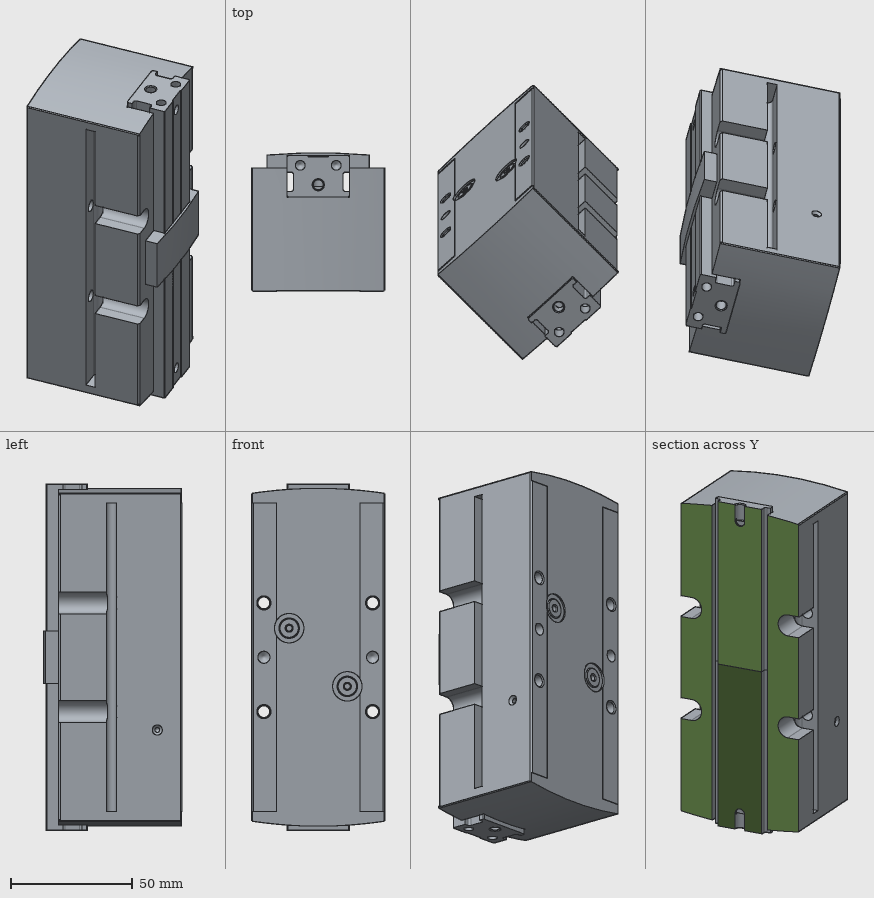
import cadquery as cq
import math

LENGTH = 143.0
WIDTH = 55.0
FRONT_Y = -28.67
BACK_Y = 22.5
COVER_TOP_Y = 28.67

END_CROWN_Z = 69.8
END_EDGE_Z = 67.8
END_CHAMFER = 0.5
FRONT_CHAMFER = 0.7
BACK_CHAMFER = 0.9
BACK_CHAMFER_HALF_LENGTH = 67.0

STRIP_HEIGHT = 0.3
STRIP_INNER_X = 17.3
STRIP_HALF_LENGTH = 63.8

HOLE_X = 22.5
HOLE_Z = 22.5
HOLE_DIAMETER = 4.9
HOLE_CHAMFER = 0.5
COUNTERBORE_DIAMETER = 9.0
COUNTERBORE_FLOOR_Y = 2.1
DOWEL_DIAMETER = 5.0
DOWEL_DEPTH = 8.6
DRILL_POINT_ANGLE = 118.0

GROOVE_WIDTH = 4.1
GROOVE_Y = 0.5
GROOVE_DEPTH = 9.6
GROOVE_HALF_LENGTH = 63.8

PORT_Y = -18.5
PORT_Z = -30.0
PORT_MOUTH_DIAMETER = 4.1
PORT_DIAMETER = 2.0
PORT_DEPTH = 4.3

PLUG_X = 12.0
PLUG_Z = 12.0
RECESS_DIAMETER = 12.2
RECESS_DEPTH = 1.0
PLUG_DIAMETER = 8.5
PLUG_PROUD = 0.5
PLUG_CHAMFER = 0.5
PLUG_LENGTH = 5.0
SOCKET_DIAMETER = 2.5
SOCKET_CHAMFER = 0.5
SOCKET_DEPTH = 2.1

JAW_HALF_WIDTH = 12.9
JAW_WAIST_HALF_WIDTH = 10.3
JAW_FLOOR_Y = 10.37
JAW_TOP_Y = 27.5
WAIST_LOW_Y = 12.7
WAIST_HIGH_Y = 20.6
WAIST_FILLET = 0.9
JAW_CHAMFER = 0.5
JAW_SCREW_X = 7.5
JAW_SCREW_Y = 23.5
JAW_SCREW_DIAMETER = 4.0
JAW_SCREW_DEPTH = 8.6
JAW_PIN_Y = 15.5
JAW_PIN_DIAMETER = 4.1
JAW_PIN_CHAMFER = 0.5
JAW_PIN_DEPTH = 7.2
CROSS_HOLE_END_Y = 14.7
JAW_GROOVE_HALF_WIDTH = 4.1
JAW_GROOVE_DEPTH = 0.5

COVER_HALF_WIDTH = 21.2
COVER_HALF_LENGTH = 10.9
COVER_EDGE_Y = 27.7

HALF_WIDTH = WIDTH / 2
FACE_Y = FRONT_Y + STRIP_HEIGHT
RECESS_FLOOR_Y = FRONT_Y + RECESS_DEPTH
MIRROR_SIGNS = (-1, 1)


def box(x_range, y_range, z_range):
    """A box between the given limits."""
    size = [high - low for low, high in (x_range, y_range, z_range)]
    corner = (x_range[0], y_range[0], z_range[0])
    return cq.Workplane("XY").box(*size, centered=False).translate(corner)


def cylinder(diameter, depth, start, direction):
    """A cylinder that runs from start along direction."""
    return cq.Workplane(cq.Solid.makeCylinder(diameter / 2, depth, cq.Vector(*start), cq.Vector(*direction)))


def cone(start_diameter, end_diameter, depth, start, direction):
    """A cone that runs from start along direction."""
    return cq.Workplane(
        cq.Solid.makeCone(
            start_diameter / 2, end_diameter / 2, depth, cq.Vector(*start), cq.Vector(*direction)
        )
    )


def countersink(diameter, chamfer, start, direction):
    """A 45 degree chamfer around the mouth of a hole."""
    return cone(diameter + 2 * chamfer, diameter, chamfer, start, direction)


def drilled_hole(diameter, depth, start, direction):
    """A blind hole that ends in a drill point."""
    point_depth = diameter / 2 / math.tan(math.radians(DRILL_POINT_ANGLE / 2))
    end = cq.Vector(*start) + cq.Vector(*direction) * depth
    return cylinder(diameter, depth, start, direction).union(
        cone(diameter, 0, point_depth, end.toTuple(), direction)
    )


def housing_block():
    """A block with domed ends and chamfered edges."""
    edge_x = HALF_WIDTH - END_CHAMFER
    side_z = END_EDGE_Z - END_CHAMFER
    block = (
        cq.Workplane("XZ", origin=(0, BACK_Y, 0))
        .moveTo(-edge_x, END_EDGE_Z)
        .threePointArc((0, END_CROWN_Z), (edge_x, END_EDGE_Z))
        .lineTo(HALF_WIDTH, side_z)
        .lineTo(HALF_WIDTH, -side_z)
        .lineTo(edge_x, -END_EDGE_Z)
        .threePointArc((0, -END_CROWN_Z), (-edge_x, -END_EDGE_Z))
        .lineTo(-HALF_WIDTH, -side_z)
        .lineTo(-HALF_WIDTH, side_z)
        .close()
        .extrude(BACK_Y - FRONT_Y)
    )
    for sign in MIRROR_SIGNS:
        block = block.cut(corner_wedge(sign, FRONT_Y, FRONT_CHAMFER, LENGTH / 2))
        block = block.cut(corner_wedge(sign, BACK_Y, -BACK_CHAMFER, BACK_CHAMFER_HALF_LENGTH))
    return block


def corner_wedge(sign, edge_y, leg, half_length):
    """The wedge that chamfers a long edge of the housing; the sign of leg is its direction in Y."""
    corner_x = sign * HALF_WIDTH
    return (
        cq.Workplane("XY", origin=(0, 0, -half_length))
        .moveTo(corner_x, edge_y)
        .lineTo(corner_x - sign * abs(leg), edge_y)
        .lineTo(corner_x, edge_y + leg)
        .close()
        .extrude(2 * half_length)
    )


def front_relief():
    """The thin layer around the strips that leaves them raised."""
    y_range = (FRONT_Y, FACE_Y)
    layer = box((-HALF_WIDTH, HALF_WIDTH), y_range, (-LENGTH / 2, LENGTH / 2))
    for x_range in ((-HALF_WIDTH, -STRIP_INNER_X), (STRIP_INNER_X, HALF_WIDTH)):
        layer = layer.cut(box(x_range, y_range, (-STRIP_HALF_LENGTH, STRIP_HALF_LENGTH)))
    return layer


def mounting_hole(sign, z):
    """A through hole with a counterbore from the back that is open to the side."""
    x = sign * HOLE_X
    radius = COUNTERBORE_DIAMETER / 2
    counterbore_depth = BACK_Y - COUNTERBORE_FLOOR_Y
    x_range = sorted((x, sign * HALF_WIDTH))
    return (
        cylinder(HOLE_DIAMETER, BACK_Y - FRONT_Y, (x, FRONT_Y, z), (0, 1, 0))
        .union(countersink(HOLE_DIAMETER, HOLE_CHAMFER, (x, FRONT_Y, z), (0, 1, 0)))
        .union(cylinder(COUNTERBORE_DIAMETER, counterbore_depth, (x, COUNTERBORE_FLOOR_Y, z), (0, 1, 0)))
        .union(box(x_range, (COUNTERBORE_FLOOR_Y, BACK_Y), (z - radius, z + radius)))
    )


def sensor_groove(sign):
    """A long side groove with a round bottom."""
    radius = GROOVE_WIDTH / 2
    round_x = sign * (HALF_WIDTH - GROOVE_DEPTH + radius)
    bottom_x = sign * (HALF_WIDTH - GROOVE_DEPTH)
    side_x = sign * HALF_WIDTH
    return (
        cq.Workplane("XY", origin=(0, GROOVE_Y, -GROOVE_HALF_LENGTH))
        .moveTo(side_x, radius)
        .lineTo(round_x, radius)
        .threePointArc((bottom_x, 0), (round_x, -radius))
        .lineTo(side_x, -radius)
        .close()
        .extrude(2 * GROOVE_HALF_LENGTH)
    )


def air_port():
    """A countersunk blind hole in the -X side."""
    start = (-HALF_WIDTH, PORT_Y, PORT_Z)
    chamfer = (PORT_MOUTH_DIAMETER - PORT_DIAMETER) / 2
    return drilled_hole(PORT_DIAMETER, PORT_DEPTH, start, (1, 0, 0)).union(
        countersink(PORT_DIAMETER, chamfer, start, (1, 0, 0))
    )


def plug_seat(x, z):
    """A shallow recess around the bore that holds a plug."""
    bore_depth = PLUG_LENGTH - PLUG_PROUD
    return cylinder(RECESS_DIAMETER, RECESS_DEPTH, (x, FRONT_Y, z), (0, 1, 0)).union(
        cylinder(PLUG_DIAMETER, bore_depth, (x, RECESS_FLOOR_Y, z), (0, 1, 0))
    )


def make_housing(plug_places):
    """The housing with its jaw slot, grooves, holes and plug seats."""
    body = housing_block().cut(front_relief())
    body = body.cut(
        box((-JAW_HALF_WIDTH, JAW_HALF_WIDTH), (JAW_FLOOR_Y, BACK_Y), (-LENGTH / 2, LENGTH / 2))
    )
    for sign in MIRROR_SIGNS:
        body = body.cut(sensor_groove(sign))
        body = body.cut(drilled_hole(DOWEL_DIAMETER, DOWEL_DEPTH, (sign * HOLE_X, FRONT_Y, 0), (0, 1, 0)))
        for z in (-HOLE_Z, HOLE_Z):
            body = body.cut(mounting_hole(sign, z))
    for x, z in plug_places:
        body = body.cut(plug_seat(x, z))
    return body.cut(air_port())


def make_plug(x, z):
    """A round plug with a small socket, standing proud of its recess."""
    face_y = RECESS_FLOOR_Y - PLUG_PROUD
    face = (x, face_y, z)
    return (
        cylinder(PLUG_DIAMETER, PLUG_LENGTH, face, (0, 1, 0))
        .faces("<Y")
        .chamfer(PLUG_CHAMFER)
        .cut(cylinder(SOCKET_DIAMETER, SOCKET_DEPTH, face, (0, 1, 0)))
        .cut(countersink(SOCKET_DIAMETER, SOCKET_CHAMFER, face, (0, 1, 0)))
    )


def make_jaw(sign):
    """A waisted bar from the middle of the slot out past one end of the housing."""
    end_z = sign * LENGTH / 2
    inward = (0, 0, -sign)
    z_range = sorted((0, end_z))
    jaw = box((-JAW_HALF_WIDTH, JAW_HALF_WIDTH), (JAW_FLOOR_Y, JAW_TOP_Y), z_range)
    jaw = jaw.edges("|Z").chamfer(JAW_CHAMFER)
    for side in MIRROR_SIGNS:
        x_range = sorted((side * JAW_WAIST_HALF_WIDTH, side * (JAW_HALF_WIDTH + WAIST_FILLET)))
        inner_edges = "<X" if side > 0 else ">X"
        waist = box(x_range, (WAIST_LOW_Y, WAIST_HIGH_Y), z_range)
        jaw = jaw.cut(waist.faces(inner_edges).edges("|Z").fillet(WAIST_FILLET))
        jaw = jaw.cut(
            drilled_hole(JAW_SCREW_DIAMETER, JAW_SCREW_DEPTH, (side * JAW_SCREW_X, JAW_SCREW_Y, end_z), inward)
        )
    groove = box(
        (-JAW_GROOVE_HALF_WIDTH, JAW_GROOVE_HALF_WIDTH),
        (JAW_TOP_Y - JAW_GROOVE_DEPTH, JAW_TOP_Y),
        z_range,
    )
    return jaw.cut(groove).cut(jaw_pin_hole(end_z, inward))


def jaw_pin_hole(end_z, inward):
    """A chamfered end hole that runs into a cross hole from the back."""
    start = (0, JAW_PIN_Y, end_z)
    cross_z = end_z + inward[2] * JAW_PIN_DEPTH
    cross_start = (0, CROSS_HOLE_END_Y, cross_z)
    return (
        cylinder(JAW_PIN_DIAMETER, JAW_PIN_DEPTH, start, inward)
        .union(countersink(JAW_PIN_DIAMETER, JAW_PIN_CHAMFER, start, inward))
        .union(cylinder(JAW_PIN_DIAMETER, JAW_TOP_Y - CROSS_HOLE_END_Y, cross_start, (0, 1, 0)))
    )


def make_cover():
    """A crowned bridge over the jaws."""
    bridge = (
        cq.Workplane("XY", origin=(0, 0, -COVER_HALF_LENGTH))
        .moveTo(-COVER_HALF_WIDTH, BACK_Y)
        .lineTo(-COVER_HALF_WIDTH, COVER_EDGE_Y)
        .threePointArc((0, COVER_TOP_Y), (COVER_HALF_WIDTH, COVER_EDGE_Y))
        .lineTo(COVER_HALF_WIDTH, BACK_Y)
        .close()
        .extrude(2 * COVER_HALF_LENGTH)
    )
    passage = box(
        (-JAW_HALF_WIDTH, JAW_HALF_WIDTH), (BACK_Y, JAW_TOP_Y), (-COVER_HALF_LENGTH, COVER_HALF_LENGTH)
    )
    return bridge.cut(passage)


plug_places = [(-PLUG_X, PLUG_Z), (PLUG_X, -PLUG_Z)]
housing = make_housing(plug_places)
plugs = [make_plug(x, z) for x, z in plug_places]
jaws = [make_jaw(sign) for sign in MIRROR_SIGNS]
cover = make_cover()

result = cq.Compound.makeCompound(
    [housing.val(), cover.val(), *[jaw.val() for jaw in jaws], *[plug.val() for plug in plugs]]
)